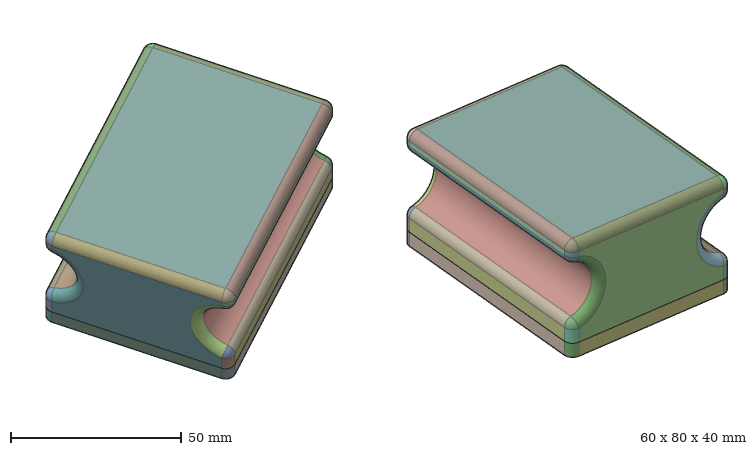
import cadquery as cq

length = 80.0
width = 60.0
height = 40.0

base_height = 5.0
edge_radius = 3.0
grip_radius = 10.0

block_height = height - base_height
grip_height = base_height + block_height / 2


def make_base():
    """Flat plate with rounded vertical corners, standing on Z = 0."""
    plate = cq.Workplane("XY").box(width, length, base_height, centered=(True, True, False))
    return plate.edges("|Z").fillet(edge_radius)


def make_grip_cutter(side):
    """Cylinder along Y, centred on the block's side face; side is -1 or +1."""
    return (
        cq.Workplane("XZ")
        .center(side * width / 2, grip_height)
        .circle(grip_radius)
        .extrude(length, both=True)
    )


def make_block():
    """Block with a half-round groove in each long side, rounded everywhere but underneath."""
    block = (
        cq.Workplane("XY")
        .workplane(offset=base_height)
        .box(width, length, block_height, centered=(True, True, False))
    )
    for side in (-1, 1):
        block = block.cut(make_grip_cutter(side))
    bottom_edges = cq.selectors.DirectionMinMaxSelector(cq.Vector(0, 0, 1), directionMax=False)
    return block.edges(-bottom_edges).fillet(edge_radius)


base = make_base()
block = make_block()

result = cq.Compound.makeCompound([base.val(), block.val()])